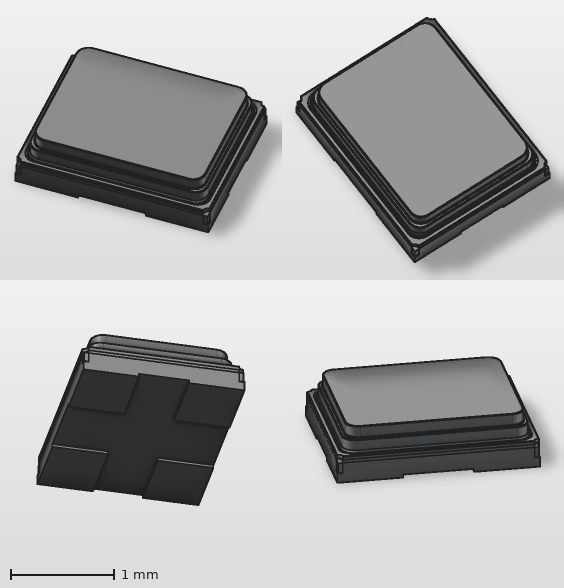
import cadquery as cq

LENGTH = 2.0
WIDTH = 1.6
HEIGHT = 0.53

BASE_BOTTOM = 0.032
PAD_TOP = 0.1
CAVITY_FLOOR = 0.205
CAVITY_CEILING = 0.238
BASE_TOP = 0.278
LOWER_TIER_TOP = 0.405

SKIN = 0.008
NOTCH_RADIUS = 0.055
BASE_CHAMFER = 0.008

PAD_LENGTH = 0.65
PAD_WIDTH = 0.552

LID_CORNER_RADIUS = 0.13
LOWER_TIER_INSET = 0.082
UPPER_TIER_INSET = 0.12
LID_CHAMFER = 0.008
UPPER_FOOT = 0.008

GROOVE_OUTER_INSET = 0.045
GROOVE_FLOOR_INSET = 0.06
GROOVE_DEPTH = 0.008
LOWER_FOOT_INSET = 0.07
LOWER_FOOT_TOP = 0.292

GROOVE_FLOOR = BASE_TOP - GROOVE_DEPTH


def block(inset, bottom, top):
    """Centred box, smaller than the envelope by inset on each side."""
    plan = cq.Workplane("XY").workplane(offset=bottom).rect(LENGTH - 2 * inset, WIDTH - 2 * inset)
    return plan.extrude(top - bottom)


def rounded_outline(inset, height):
    """Rectangle with rounded corners, lying at the given height."""
    outline = cq.Sketch().rect(LENGTH - 2 * inset, WIDTH - 2 * inset).vertices().fillet(LID_CORNER_RADIUS)
    return outline.moved(cq.Location(cq.Vector(0, 0, height)))


def tapered_block(bottom_inset, bottom, top_inset, top):
    """Rounded block whose four sides slope between two heights."""
    outlines = rounded_outline(bottom_inset, bottom), rounded_outline(top_inset, top)
    return cq.Workplane("XY").placeSketch(*outlines).loft()


def make_base():
    """Hollow base with a round notch in the skin at each corner."""
    shell = block(0, BASE_BOTTOM, BASE_TOP).faces(">Z").edges().chamfer(BASE_CHAMFER)
    corners = (
        cq.Workplane("XY")
        .workplane(offset=BASE_BOTTOM)
        .rect(LENGTH, WIDTH, forConstruction=True)
        .vertices()
    )
    notches = corners.circle(NOTCH_RADIUS).extrude(BASE_TOP - BASE_BOTTOM)
    core = block(SKIN, BASE_BOTTOM, CAVITY_FLOOR)
    cavity = block(SKIN, CAVITY_FLOOR, CAVITY_CEILING)
    return shell.cut(notches).union(core).cut(cavity)


def make_pads():
    """Four pads under the corners, flush with the sides of the base."""
    return (
        cq.Workplane("XY")
        .rect(LENGTH - PAD_LENGTH, WIDTH - PAD_WIDTH, forConstruction=True)
        .vertices()
        .rect(PAD_LENGTH, PAD_WIDTH)
        .extrude(PAD_TOP)
    )


def make_tier(inset, bottom, top):
    """One tier of the lid, with a bevelled top edge."""
    tier = cq.Workplane("XY").placeSketch(rounded_outline(inset, bottom)).extrude(top - bottom)
    return tier.faces(">Z").edges().chamfer(LID_CHAMFER)


def make_lower_tier():
    """Lower tier with the sloping foot that rises from the groove."""
    foot = tapered_block(LOWER_FOOT_INSET, GROOVE_FLOOR, LOWER_TIER_INSET, LOWER_FOOT_TOP)
    return make_tier(LOWER_TIER_INSET, GROOVE_FLOOR, LOWER_TIER_TOP).union(foot)


def make_upper_tier():
    """Upper tier with a small sloping foot on the lower one."""
    foot = tapered_block(
        UPPER_TIER_INSET - UPPER_FOOT, LOWER_TIER_TOP, UPPER_TIER_INSET, LOWER_TIER_TOP + UPPER_FOOT
    )
    return make_tier(UPPER_TIER_INSET, LOWER_TIER_TOP, HEIGHT).union(foot)


groove = tapered_block(GROOVE_FLOOR_INSET, GROOVE_FLOOR, GROOVE_OUTER_INSET, BASE_TOP)

result = (
    make_base()
    .union(make_pads())
    .cut(groove)
    .union(make_lower_tier())
    .union(make_upper_tier())
)